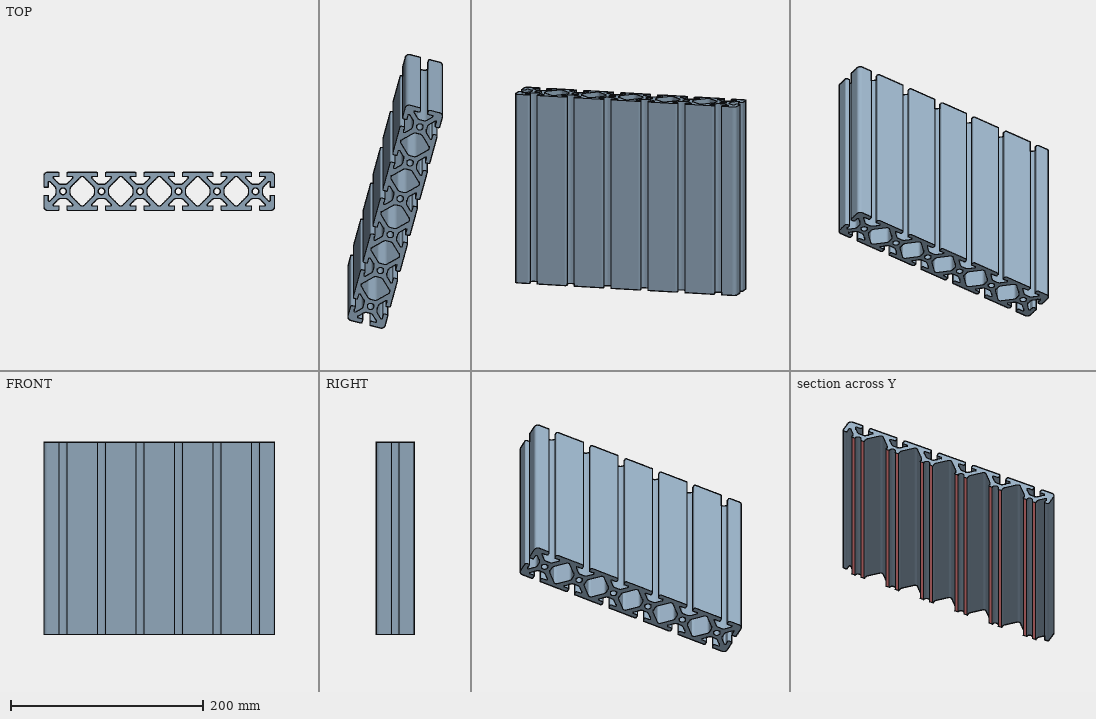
import cadquery as cq
import math

length = 240.0
cell_count = 6
pitch = length / cell_count
half_pitch = pitch / 2
height = 200.0
corner_radius = 4.0

opening_half = 4.0
lip_thickness = 4.8
lip_radius = 1.5
slot_half = 10.0
slot_corner_radius = 0.7

bore_diameter = 6.7
core_half = 7.5
core_blend_radius = 4.5
rib_offset = 3.5
cavity_tip_radius = 1.0

lip_inside = half_pitch - lip_thickness
cell_centers = [(i - (cell_count - 1) / 2) * pitch for i in range(cell_count)]
cavity_centers = [(a + b) / 2 for a, b in zip(cell_centers, cell_centers[1:])]

flat_end = core_half - rib_offset
flat_trim = core_blend_radius * math.tan(math.radians(22.5))
diagonal_trim = flat_trim * math.cos(math.radians(45))


def slot_cutter():
    """T-slot of the cell at the origin, opening toward +Y."""
    cutter = (
        cq.Workplane("XY")
        .moveTo(0, core_half)
        .lineTo(flat_end - flat_trim, core_half)
        .radiusArc((flat_end + diagonal_trim, core_half + diagonal_trim), -core_blend_radius)
        .lineTo(slot_half, slot_half + rib_offset)
        .lineTo(slot_half, lip_inside)
        .lineTo(opening_half, lip_inside)
        .lineTo(opening_half, half_pitch - lip_radius)
        .radiusArc((opening_half + lip_radius, half_pitch), lip_radius)
        .lineTo(0, half_pitch)
        .mirrorY()
        .extrude(height)
    )
    undercut = cq.selectors.BoxSelector(
        (-pitch, slot_half, 0),
        (pitch, lip_inside + slot_corner_radius, height),
    )
    return cutter.edges("|Z").edges(undercut).fillet(slot_corner_radius)


def cavity_cutter():
    """Closed chamber between two cells, centred on the origin."""
    side = half_pitch - core_half
    tip_half = half_pitch - rib_offset - lip_inside
    corners = [
        (side, flat_end),
        (tip_half, lip_inside),
        (-tip_half, lip_inside),
        (-side, flat_end),
        (-side, -flat_end),
        (-tip_half, -lip_inside),
        (tip_half, -lip_inside),
        (side, -flat_end),
    ]
    cutter = cq.Workplane("XY").polyline(corners).close().extrude(height)
    cutter = cutter.edges("|Z").edges("<X or >X").fillet(core_blend_radius)
    return cutter.edges("|Z").edges("<Y or >Y").fillet(cavity_tip_radius)


body = cq.Workplane("XY").rect(length, pitch).extrude(height).edges("|Z").fillet(corner_radius)

slot_places = [(x, turn) for x in cell_centers for turn in (0, 180)]
slot_places += [(cell_centers[0], 90), (cell_centers[-1], -90)]
face_slot = slot_cutter()
for x, turn in slot_places:
    body = body.cut(face_slot.rotate((0, 0, 0), (0, 0, 1), turn).translate((x, 0, 0)))

cavity = cavity_cutter()
for x in cavity_centers:
    body = body.cut(cavity.translate((x, 0, 0)))

bore_points = [(x, 0) for x in cell_centers]
bores = cq.Workplane("XY").pushPoints(bore_points).circle(bore_diameter / 2).extrude(height)
result = body.cut(bores)